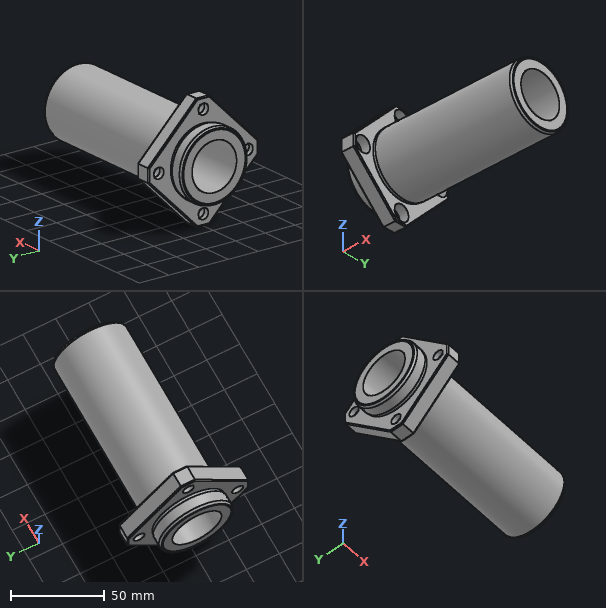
import cadquery as cq

LENGTH = 123.0
BODY_RADIUS = 45.0 / 2
BORE_RADIUS = 30.0 / 2

EDGE_LENGTH = 1.6
EDGE_DROP = 0.77
EDGE_BULGE = 0.07

SEAL_RADIUS = 41.7 / 2
SEAL_RECESS = 0.2

FLANGE_START = 10.0
FLANGE_THICKNESS = 10.0
FLANGE_SPAN = 73.9
CORNER_FLAT = 8.6
FLANGE_CHAMFER = 0.68

RELIEF_DEPTH = 0.5
FRONT_RELIEF_START = 8.0
FRONT_RELIEF_WIDTH = 3.0
REAR_RELIEF_START = 19.5
REAR_RELIEF_WIDTH = 2.3

BOLT_COUNT = 4
BOLT_CIRCLE_RADIUS = 60.0 / 2
BOLT_HOLE_DIAMETER = 6.6
COUNTERBORE_DIAMETER = 11.0
COUNTERBORE_DEPTH = 6.5


def make_sleeve():
    """Solid sleeve revolved about X, with bevelled ends and both reliefs."""
    face_radius = BODY_RADIUS - EDGE_DROP
    profile = (
        cq.Workplane("XY")
        .lineTo(0, face_radius)
        .sagittaArc((EDGE_LENGTH, BODY_RADIUS), EDGE_BULGE)
        .lineTo(FRONT_RELIEF_START, BODY_RADIUS)
        .sagittaArc((FRONT_RELIEF_START + FRONT_RELIEF_WIDTH, BODY_RADIUS), -RELIEF_DEPTH)
        .lineTo(REAR_RELIEF_START, BODY_RADIUS)
        .sagittaArc((REAR_RELIEF_START + REAR_RELIEF_WIDTH, BODY_RADIUS), -RELIEF_DEPTH)
        .lineTo(LENGTH - EDGE_LENGTH, BODY_RADIUS)
        .sagittaArc((LENGTH, face_radius), EDGE_BULGE)
        .lineTo(LENGTH, 0)
        .close()
    )
    return profile.revolve(360, (0, 0, 0), (1, 0, 0))


def make_flange():
    """Chamfered plate with its counterbores opening toward +X."""
    half_span = FLANGE_SPAN / 2
    half_flat = CORNER_FLAT / 2
    outline = [
        (half_span, -half_flat),
        (half_span, half_flat),
        (half_flat, half_span),
        (-half_flat, half_span),
        (-half_span, half_flat),
        (-half_span, -half_flat),
        (-half_flat, -half_span),
        (half_flat, -half_span),
    ]
    plate = (
        cq.Workplane("YZ", origin=(FLANGE_START, 0, 0))
        .polyline(outline)
        .close()
        .extrude(FLANGE_THICKNESS)
        .faces("<X or >X")
        .chamfer(FLANGE_CHAMFER)
    )
    return (
        plate.faces(">X")
        .workplane()
        .polarArray(BOLT_CIRCLE_RADIUS, 0, 360, BOLT_COUNT)
        .cboreHole(BOLT_HOLE_DIAMETER, COUNTERBORE_DIAMETER, COUNTERBORE_DEPTH)
    )


def make_disc(start, radius, length):
    """Cylinder along X, used as a cutting tool."""
    return cq.Workplane("YZ", origin=(start, 0, 0)).circle(radius).extrude(length)


result = make_sleeve().union(make_flange())
result = result.cut(make_disc(0, BORE_RADIUS, LENGTH))
for recess_start in (0, LENGTH - SEAL_RECESS):
    result = result.cut(make_disc(recess_start, SEAL_RADIUS, SEAL_RECESS))